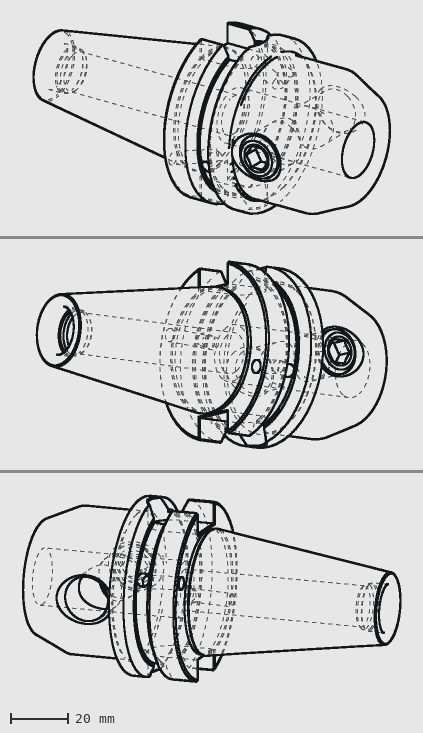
import cadquery as cq
import math

total_length = 128.4

taper_slope = 7 / 48
gauge_x = 65.4
gauge_radius = 22.2
taper_end_x = 65.9
small_end_radius = gauge_radius - gauge_x * taper_slope
taper_end_radius = gauge_radius + (taper_end_x - gauge_x) * taper_slope
small_end_chamfer = 0.4
relief_radius = 22.0
relief_chamfer = 0.4

flange_diameter = 63.0
flange_radius = flange_diameter / 2
flange_front_x = 67.5
flange_back_x = 92.3
flange_chamfer = 0.6
flange_back_fillet = 0.9
groove_radius = 26.5
groove_front_x = 77.0
groove_back_x = 86.7
groove_half_angle = 30
groove_center_x = (groove_front_x + groove_back_x) / 2
groove_floor_width = 5.0
groove_floor_fillet = 0.4
groove_floor_front_x = groove_center_x - groove_floor_width / 2
groove_floor_back_x = groove_center_x + groove_floor_width / 2
groove_flank_run = groove_floor_front_x - groove_front_x
groove_flank_radius = flange_radius - groove_flank_run / math.tan(math.radians(groove_half_angle))

body_radius = 26.1
body_root_fillet = 0.8
cone_start_x = 115.3
nose_radius = 20.3
cone_fillet = 1.9
nose_fillet = 1.5

mouth_fillet = 1.0
counterbore_radius = 8.5
counterbore_depth = 6.7
recess_radius = 8.1
recess_end_x = 8.5
through_radius = 7.2
shank_bore_radius = 10.0
shank_bore_start_x = 75.8

slot_half_width = 8.1
slot_floor_z = 22.6
slot_end_x = 88.6
slot_edge_chamfer = 0.4

coolant_radius = 2.3
coolant_angle = 20
coolant_mouth_radius = 26.7
coolant_tilt = 25
coolant_run = groove_center_x - flange_front_x
coolant_meet_radius = coolant_mouth_radius - coolant_run * math.tan(math.radians(coolant_tilt))

screw_x = 103.2
screw_radius = 8.0
countersink_radius = 10.3
screw_head_y = -26.0
screw_chamfer = 1.4
hex_across_flats = 8.1
hex_depth = 6.4
hex_countersink_radius = 5.1
hex_countersink_slope = 30
hex_countersink_depth = hex_countersink_radius * math.tan(math.radians(hex_countersink_slope))


def turned_body():
    """Solid outside shape of the holder, without bores or slots."""
    profile = (
        cq.Workplane("XY")
        .moveTo(0, 0)
        .lineTo(0, small_end_radius - small_end_chamfer)
        .lineTo(small_end_chamfer, small_end_radius + small_end_chamfer * taper_slope)
        .lineTo(taper_end_x, taper_end_radius)
        .lineTo(taper_end_x + relief_chamfer, relief_radius)
        .lineTo(flange_front_x, relief_radius)
        .lineTo(flange_front_x, flange_radius - flange_chamfer)
        .lineTo(flange_front_x + flange_chamfer, flange_radius)
        .lineTo(groove_front_x, flange_radius)
        .lineTo(groove_floor_front_x, groove_flank_radius)
        .lineTo(groove_floor_front_x, groove_radius)
        .lineTo(groove_floor_back_x, groove_radius)
        .lineTo(groove_floor_back_x, groove_flank_radius)
        .lineTo(groove_back_x, flange_radius)
        .lineTo(flange_back_x, flange_radius)
        .lineTo(flange_back_x, body_radius)
        .lineTo(cone_start_x, body_radius)
        .lineTo(total_length, nose_radius)
        .lineTo(total_length, 0)
        .close()
    )
    body = profile.revolve(360, (0, 0, 0), (1, 0, 0))
    body = round_edge(body, groove_floor_front_x, groove_radius, groove_floor_fillet)
    body = round_edge(body, groove_floor_back_x, groove_radius, groove_floor_fillet)
    body = round_edge(body, flange_back_x, flange_radius, flange_back_fillet)
    body = round_edge(body, flange_back_x, body_radius, body_root_fillet)
    body = round_edge(body, cone_start_x, body_radius, cone_fillet)
    return round_edge(body, total_length, nose_radius, nose_fillet)


def round_edge(body, x, radius, fillet):
    """Fillet the circular edge of the given radius at station x."""
    reach = 0.1
    ring = cq.selectors.BoxSelector(
        (x - reach, -radius - reach, -radius - reach),
        (x + reach, radius + reach, radius + reach),
        boundingbox=True,
    )
    edges = [
        edge
        for edge in body.edges(ring).edges("%CIRCLE").vals()
        if abs(edge.radius() - radius) < reach
    ]
    return body.newObject(edges).fillet(fillet)


def axial_bore():
    """Bore along X with a counterbore and 45 degree steps in the taper, and a shank bore in the nose."""
    return (
        cq.Workplane("XY")
        .moveTo(0, 0)
        .lineTo(0, counterbore_radius + mouth_fillet)
        .radiusArc((mouth_fillet, counterbore_radius), -mouth_fillet)
        .lineTo(counterbore_depth, counterbore_radius)
        .lineTo(counterbore_depth + counterbore_radius - recess_radius, recess_radius)
        .lineTo(recess_end_x, recess_radius)
        .lineTo(recess_end_x + recess_radius - through_radius, through_radius)
        .lineTo(shank_bore_start_x, through_radius)
        .lineTo(shank_bore_start_x, shank_bore_radius)
        .lineTo(total_length, shank_bore_radius)
        .lineTo(total_length, 0)
        .close()
        .revolve(360, (0, 0, 0), (1, 0, 0))
    )


def driving_slot():
    """Cutter for the +Z slot: open toward the taper, round at the far end."""
    arc_center_x = slot_end_x - slot_half_width
    return (
        cq.Workplane("XY", origin=(0, 0, slot_floor_z))
        .moveTo(flange_front_x, -slot_half_width)
        .lineTo(arc_center_x, -slot_half_width)
        .threePointArc((slot_end_x, 0), (arc_center_x, slot_half_width))
        .lineTo(flange_front_x, slot_half_width)
        .close()
        .extrude(flange_radius)
    )


def chamfer_slot_edges(body):
    """Break the slot edges on the front face and the rim of the flange."""
    reach = 0.1
    edges = []
    for low_z, high_z in ((slot_floor_z, flange_radius), (-flange_radius, -slot_floor_z)):
        around_slot = cq.selectors.BoxSelector(
            (flange_front_x - reach, -slot_half_width - reach, low_z - reach),
            (slot_end_x + reach, slot_half_width + reach, high_z + reach),
            boundingbox=True,
        )
        for edge in body.edges(around_slot).vals():
            middle = edge.positionAt(0.5)
            on_front = middle.x < flange_front_x + flange_chamfer
            on_rim = math.hypot(middle.y, middle.z) > flange_radius - reach
            if on_front or on_rim:
                edges.append(edge)
    return body.newObject(edges).chamfer(slot_edge_chamfer)


def coolant_passage():
    """Cutter for the +Y passage: a tilted hole from the flange face meets a radial groove hole."""
    tilt = math.radians(coolant_tilt)
    tilted_length = coolant_run / math.cos(tilt)
    direction = cq.Vector(math.cos(tilt), -math.sin(tilt), 0)
    mouth = cq.Vector(flange_front_x, coolant_mouth_radius, 0)
    overrun = 2 * coolant_radius
    tilted = cq.Solid.makeCylinder(
        coolant_radius, tilted_length + overrun, mouth - direction * overrun, direction
    )
    radial = cq.Solid.makeCylinder(
        coolant_radius,
        groove_radius - coolant_meet_radius,
        cq.Vector(groove_center_x, coolant_meet_radius, 0),
        cq.Vector(0, 1, 0),
    )
    passage = cq.Workplane(tilted).union(cq.Workplane(radial))
    return passage.rotate((0, 0, 0), (1, 0, 0), coolant_angle)


def cross_hole():
    """Cutter for the screw hole through both walls, countersunk at 45 degrees on each side."""
    countersink_depth = countersink_radius - screw_radius
    return (
        cq.Workplane("XY")
        .moveTo(screw_x, -body_radius)
        .lineTo(screw_x + countersink_radius, -body_radius)
        .lineTo(screw_x + screw_radius, countersink_depth - body_radius)
        .lineTo(screw_x + screw_radius, body_radius - countersink_depth)
        .lineTo(screw_x + countersink_radius, body_radius)
        .lineTo(screw_x, body_radius)
        .close()
        .revolve(360, (screw_x, 0, 0), (screw_x, 1, 0))
    )


def make_holder():
    holder = turned_body()
    for turn in (0, 180):
        holder = holder.cut(driving_slot().rotate((0, 0, 0), (1, 0, 0), turn))
    holder = chamfer_slot_edges(holder)
    for turn in (0, 180):
        holder = holder.cut(coolant_passage().rotate((0, 0, 0), (1, 0, 0), turn))
    return holder.cut(axial_bore()).cut(cross_hole())


def make_screw():
    """Set screw with a hexagon socket, its tip level with the shank bore."""
    hex_corner_diameter = hex_across_flats / math.cos(math.radians(30))
    head_plane = cq.Plane(origin=(screw_x, screw_head_y, 0), xDir=(1, 0, 0), normal=(0, -1, 0))
    length = -shank_bore_radius - screw_head_y
    screw = (
        cq.Workplane(head_plane)
        .circle(screw_radius)
        .extrude(-length)
        .faces("<Y")
        .chamfer(screw_chamfer)
    )
    socket = cq.Workplane(head_plane).polygon(6, hex_corner_diameter).extrude(-hex_depth)
    socket_countersink = cq.Workplane(
        cq.Solid.makeCone(
            hex_countersink_radius,
            0,
            hex_countersink_depth,
            cq.Vector(screw_x, screw_head_y, 0),
            cq.Vector(0, 1, 0),
        )
    )
    return screw.cut(socket).cut(socket_countersink)


holder = make_holder()
screw = make_screw()
result = cq.Compound.makeCompound([holder.solids().val(), screw.solids().val()])